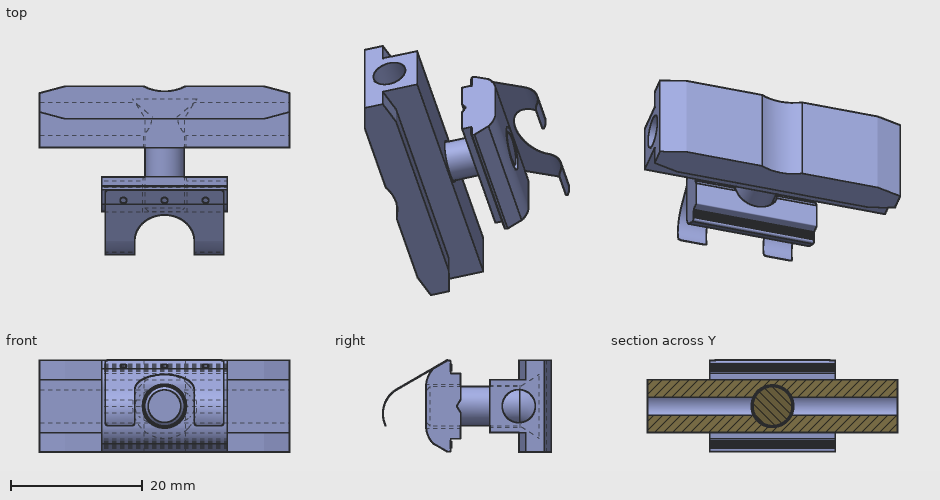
import cadquery as cq
import math


rail_length = 38.0
rail_height = 14.0
flange_depth = 4.95
rail_depth = 9.3
web_height = 8.0
end_taper_length = 3.88
end_taper_angle = 15.0
cross_bore_diameter = 5.0
back_notch_radius = 7.0
back_notch_depth = 0.75
rail_hole_radius = 3.2

screw_radius = 3.0
screw_rear = 4.83
screw_recess = 0.08
screw_chamfer = 0.55
neck_length = 0.23
neck_radius = 3.1
head_cone_angle = 33.0
head_back = 1.9

nut_length = 19.08
nut_back = 13.75
nut_shoulder = 15.25
nut_front = 19.05
nut_neck_half_height = 4.98
nut_half_height = 6.95
nut_flat_half_height = 2.93
nut_side_radius = 4.0
nut_side_drop = 1.1
nut_slope_angle = 30.0
nut_shoulder_fillet = 0.3
nut_back_fillet = 0.15
nut_groove_half_height = 1.0
nut_groove_depth = 0.6
nut_hole_radius = 3.35
tooth_count = 5
tooth_pitch = 0.23
tooth_height = 0.1
teeth_start = 5.3

spring_width = 18.0
spring_thickness = 0.08
spring_gap_width = 9.0
spring_bend_z = 2.6
spring_bend_radius = 4.3
spring_end_z = -3.0
spring_corner_radius = 0.55
spring_hole_diameter = 1.0
spring_hole_spacing = 6.25
spring_hole_distance = 17.33

slope = math.radians(nut_slope_angle)
flank_distance = nut_front - nut_side_drop
flank_z = nut_flat_half_height + math.sqrt(
    nut_side_radius**2 - (nut_side_radius - nut_side_drop) ** 2
)


def cylinder_along_y(radius, start, end):
    """Round bar on the screw axis between two distances from the rail's back face."""
    return cq.Workplane("XZ", origin=(0, -start, 0)).circle(radius).extrude(end - start)


def make_head():
    """Conical head of the screw: a slightly flared neck, then a steeper cone with a flat back."""
    cone_start = screw_rear - neck_length
    cone_length = cone_start - head_back
    back_radius = neck_radius + cone_length * math.tan(math.radians(head_cone_angle))
    return (
        cq.Workplane("XY")
        .moveTo(0, -screw_rear)
        .lineTo(screw_radius, -screw_rear)
        .lineTo(neck_radius, -cone_start)
        .lineTo(back_radius, -head_back)
        .lineTo(0, -head_back)
        .close()
        .revolve(360, (0, 0, 0), (0, 1, 0))
    )


def make_screw():
    """Headless screw, chamfered at its front end."""
    screw = cylinder_along_y(screw_radius, screw_rear, nut_front - screw_recess)
    return screw.faces("<Y").chamfer(screw_chamfer)


def make_rail(head):
    """T-shaped rail with tapered flange ends, a cross bore, a screw hole and a seat for the conical head."""
    half_length = rail_length / 2
    taper = end_taper_length * math.tan(math.radians(end_taper_angle))
    straight = half_length - end_taper_length
    flange = (
        cq.Workplane("XY")
        .polyline([
            (-half_length, -taper),
            (-straight, 0),
            (straight, 0),
            (half_length, -taper),
            (half_length, taper - flange_depth),
            (straight, -flange_depth),
            (-straight, -flange_depth),
            (-half_length, taper - flange_depth),
        ])
        .close()
        .extrude(rail_height / 2, both=True)
    )
    web_back = flange_depth / 2
    web = (
        cq.Workplane("XZ", origin=(0, -web_back, 0))
        .rect(rail_length, web_height)
        .extrude(rail_depth - web_back)
    )
    cross_bore = (
        cq.Workplane("YZ", origin=(0, -flange_depth, 0))
        .circle(cross_bore_diameter / 2)
        .extrude(half_length, both=True)
    )
    back_notch = (
        cq.Workplane("XY", origin=(0, back_notch_radius - back_notch_depth, 0))
        .circle(back_notch_radius)
        .extrude(rail_height / 2, both=True)
    )
    screw_hole = cylinder_along_y(rail_hole_radius, screw_rear, rail_depth)
    return flange.union(web).cut(cross_bore).cut(back_notch).cut(screw_hole).cut(head)


def nut_profile():
    """Closed cross-section of the nut without its grip teeth."""
    tip_distance = flank_distance - (nut_half_height - flank_z) / math.tan(slope)
    arc_half_angle = math.asin((flank_z - nut_flat_half_height) / nut_side_radius) / 2
    arc_distance = nut_front - nut_side_radius * (1 - math.cos(arc_half_angle))
    arc_z = nut_flat_half_height + nut_side_radius * math.sin(arc_half_angle)
    return (
        cq.Workplane("YZ")
        .moveTo(-nut_back, nut_groove_half_height)
        .lineTo(-nut_back, nut_neck_half_height)
        .lineTo(-nut_shoulder, nut_neck_half_height)
        .lineTo(-nut_shoulder, nut_half_height)
        .lineTo(-tip_distance, nut_half_height)
        .lineTo(-flank_distance, flank_z)
        .threePointArc((-arc_distance, arc_z), (-nut_front, nut_flat_half_height))
        .lineTo(-nut_front, -nut_flat_half_height)
        .threePointArc((-arc_distance, -arc_z), (-flank_distance, -flank_z))
        .lineTo(-tip_distance, -nut_half_height)
        .lineTo(-nut_shoulder, -nut_half_height)
        .lineTo(-nut_shoulder, -nut_neck_half_height)
        .lineTo(-nut_back, -nut_neck_half_height)
        .lineTo(-nut_back, -nut_groove_half_height)
        .lineTo(-nut_back - nut_groove_depth, 0)
        .close()
    )


def round_x_edges(body, distance, half_height, radius):
    """Fillet the pair of edges along X at a distance from the rail and at plus and minus a height."""
    for z in (half_height, -half_height):
        body = body.edges(cq.selectors.NearestToPointSelector((0, -distance, z))).fillet(radius)
    return body


def cut_teeth(nut, side):
    """Row of V teeth along X on the upper (+1) or lower (-1) shoulder, half above and half below it."""
    band_width = tooth_count * tooth_pitch
    band_middle = side * (teeth_start + band_width / 2)
    trench = (
        cq.Workplane("XY")
        .box(nut_length, 2 * tooth_height, band_width)
        .translate((0, -nut_shoulder, band_middle))
    )
    root = -nut_shoulder - tooth_height
    crest = -nut_shoulder + tooth_height
    tooth_start = teeth_start
    for _ in range(tooth_count):
        tooth = (
            cq.Workplane("YZ")
            .polyline([
                (root, side * tooth_start),
                (crest, side * (tooth_start + tooth_pitch / 2)),
                (root, side * (tooth_start + tooth_pitch)),
            ])
            .close()
            .extrude(nut_length / 2, both=True)
        )
        trench = trench.cut(tooth)
        nut = nut.union(tooth)
        tooth_start += tooth_pitch
    return nut.cut(trench)


def make_nut():
    """Clamping nut with a V groove in its back, toothed shoulders and a clearance hole for the screw."""
    nut = nut_profile().extrude(nut_length / 2, both=True)
    nut = round_x_edges(nut, nut_shoulder, nut_half_height, nut_shoulder_fillet)
    nut = round_x_edges(nut, nut_back, nut_neck_half_height, nut_back_fillet)
    for side in (1, -1):
        nut = cut_teeth(nut, side)
    return nut.cut(cylinder_along_y(nut_hole_radius, nut_back, nut_front))


def make_spring():
    """Thin leaf spring lying on the nut's upper flank, with two legs that curl downward."""
    def flank_point(z, offset):
        distance = flank_distance + (flank_z + offset / math.cos(slope) - z) / math.tan(slope)
        return distance, z

    bend_distance, bend_z = flank_point(spring_bend_z, spring_thickness)
    centre_distance = bend_distance - spring_bend_radius * math.sin(slope)
    centre_z = bend_z - spring_bend_radius * math.cos(slope)
    bend_start = math.pi / 2 - slope
    bend_end = math.asin((spring_end_z - centre_z) / spring_bend_radius)
    inner_radius = spring_bend_radius - spring_thickness

    def bend_point(radius, angle):
        return -centre_distance - radius * math.cos(angle), centre_z + radius * math.sin(angle)

    bend_middle = (bend_start + bend_end) / 2
    top_distance, top_z = flank_point(nut_half_height, 0)
    offset_y = -spring_thickness * math.sin(slope)
    offset_z = spring_thickness * math.cos(slope)
    sheet = (
        cq.Workplane("YZ")
        .moveTo(-top_distance, top_z)
        .lineTo(-top_distance + offset_y, top_z + offset_z)
        .lineTo(*bend_point(spring_bend_radius, bend_start))
        .threePointArc(
            bend_point(spring_bend_radius, bend_middle), bend_point(spring_bend_radius, bend_end)
        )
        .lineTo(*bend_point(inner_radius, bend_end))
        .threePointArc(
            bend_point(inner_radius, bend_middle), bend_point(inner_radius, bend_start)
        )
        .close()
        .extrude(spring_width / 2, both=True)
    )

    flank_plane = cq.Plane(
        origin=(0, -bend_distance, bend_z),
        xDir=(1, 0, 0),
        normal=(0, -math.sin(slope), math.cos(slope)),
    )
    gap_radius = spring_gap_width / 2
    cutter_reach = 2 * spring_bend_radius
    arch = cq.Workplane(flank_plane).circle(gap_radius).extrude(cutter_reach, both=True)
    leg_gap = cq.Workplane("XY").box(
        spring_gap_width, cutter_reach, cutter_reach, centered=(True, True, False)
    ).translate((0, -bend_distance, bend_z - cutter_reach))
    hole_offset = (bend_distance - spring_hole_distance) / math.cos(slope)
    holes = (
        cq.Workplane(flank_plane)
        .pushPoints([(step * spring_hole_spacing, hole_offset) for step in (-1, 0, 1)])
        .circle(spring_hole_diameter / 2)
        .extrude(spring_thickness, both=True)
    )
    spring = sheet.cut(arch).cut(leg_gap).cut(holes)

    end_y, end_z = bend_point(spring_bend_radius, bend_end)
    corners = [(x, -top_distance, top_z) for x in (-spring_width / 2, spring_width / 2)]
    for x in (spring_width / 2, spring_gap_width / 2):
        corners += [(-x, end_y, end_z), (x, end_y, end_z)]
    for corner in corners:
        spring = spring.edges(cq.selectors.NearestToPointSelector(corner)).fillet(spring_corner_radius)
    return spring


head = make_head()
screw = make_screw()
rail = make_rail(head)
nut = make_nut()
spring = make_spring()

result = cq.Compound.makeCompound([rail.val(), screw.val(), head.val(), nut.val(), spring.val()])